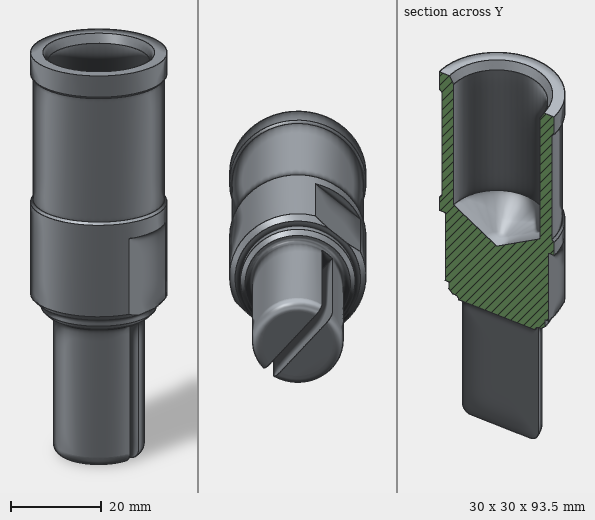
import cadquery as cq
import math

total_height = 93.5
pin_top = 32.0
boss_height = 3.9
body_bottom = pin_top + boss_height
body_top = 58.5
flat_top = 54.8
rim_bottom = 88.5

body_radius = 30.0 / 2
neck_radius = 28.9 / 2
boss_radius = 25.2 / 2
pin_radius = 20.0 / 2
flat_spacing = 27.0

neck_step = body_radius - neck_radius
body_chamfer = 1.2
boss_chamfer = 1.0
pin_fillet = 1.0
tip_round = 2.2

socket_radius = 22.4 / 2
mouth_radius = 24.6 / 2
mouth_depth = 2.0
socket_floor = 58.0
drill_angle = 118.0

slot_width = 3.0


def turned_body():
    arc_mid = math.sqrt(0.5)
    fillet_x = pin_radius + pin_fillet
    fillet_mid = (
        fillet_x - pin_fillet * arc_mid,
        pin_top + pin_fillet * arc_mid,
    )
    tip_mid = (
        pin_radius - tip_round * (1 - arc_mid),
        tip_round * (1 - arc_mid),
    )
    shoulder = pin_top + pin_fillet
    return (
        cq.Workplane("XZ")
        .lineTo(pin_radius - tip_round, 0)
        .threePointArc(tip_mid, (pin_radius, tip_round))
        .lineTo(pin_radius, pin_top)
        .threePointArc(fillet_mid, (fillet_x, shoulder))
        .lineTo(boss_radius - boss_chamfer, shoulder)
        .lineTo(boss_radius, shoulder + boss_chamfer)
        .lineTo(boss_radius, body_bottom)
        .lineTo(body_radius - body_chamfer, body_bottom)
        .lineTo(body_radius, body_bottom + body_chamfer)
        .lineTo(body_radius, body_top)
        .lineTo(neck_radius, body_top + neck_step)
        .lineTo(neck_radius, rim_bottom - neck_step)
        .lineTo(body_radius, rim_bottom)
        .lineTo(body_radius, total_height)
        .lineTo(0, total_height)
        .close()
        .revolve(360, (0, 0), (0, 1))
    )


def socket():
    cone_depth = socket_radius / math.tan(math.radians(drill_angle / 2))
    return (
        cq.Workplane("XZ")
        .moveTo(0, socket_floor - cone_depth)
        .lineTo(socket_radius, socket_floor)
        .lineTo(socket_radius, total_height - mouth_depth)
        .lineTo(mouth_radius, total_height)
        .lineTo(0, total_height)
        .close()
        .revolve(360, (0, 0), (0, 1))
    )


def wrench_flat(side):
    """Block that cuts one flat into the body, on the -X or +X side."""
    depth = body_radius
    center_x = side * (flat_spacing / 2 + depth / 2)
    return (
        cq.Workplane("XY", origin=(center_x, 0, body_bottom))
        .rect(depth, 2 * body_radius)
        .extrude(flat_top - body_bottom)
    )


def pin_slot():
    """Slot through the pin along X, open at the tip."""
    return (
        cq.Workplane("XY")
        .rect(2 * body_radius, slot_width)
        .extrude(pin_top)
    )


result = turned_body().cut(socket()).cut(pin_slot())
for side in (-1, 1):
    result = result.cut(wrench_flat(side))